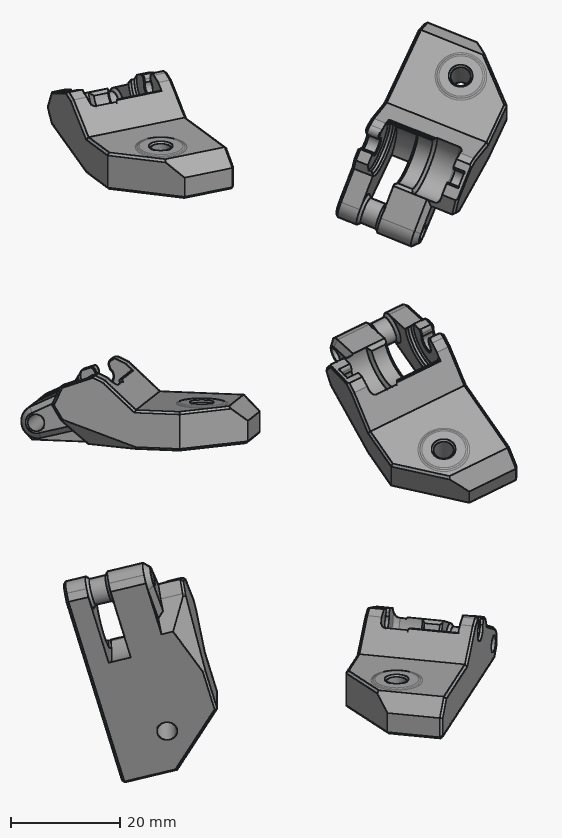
import math
import cadquery as cq

WIDTH = 20.8
RIGHT_END_X = 38.5
DECK_Z = 7.28
HEIGHT = 13.46
EDGE_BREAK = 0.45
ROOF_EDGE_BREAK = 0.2

PIN_Z = 3.375
PIN_D = 3.15
BARREL_R = 3.06
NECK_D = 4.95
ARM_Y = 4.6
ARM_CHAMFER = 1.1
ARM_TOP_ANGLE = math.radians(26)
ARM_BOTTOM_ANGLE = math.radians(14.7)
ARM_REACH_X = 9.0
ARM_ROOT_X = 19.0

TOWER_NOSE = (3.9, 7.6)
TOWER_SHOULDER = (5.47, 10.95)
TOWER_PEAK_X = 12.08
TOWER_BROW_X = 13.83
CREST_FALL = math.radians(24.3)
SNAP_R = 1.1
SNAP_X = TOWER_PEAK_X - SNAP_R * math.sin(CREST_FALL)
SNAP_Z = HEIGHT - SNAP_R
TOWER_PEAK = (TOWER_PEAK_X, SNAP_Z + SNAP_R * math.cos(CREST_FALL))
TOWER_BROW = (TOWER_BROW_X, TOWER_PEAK[1] - (TOWER_BROW_X - TOWER_PEAK_X) * math.tan(CREST_FALL))
SADDLE_FOOT_X = 19.72
NOSE_UNDERCUT = (5.5, 5.0)
NOSE_TOE_X = 10.1

END_BEVEL = 3.03
CORNER_CUT = 10.46

FACET_TOP = (5.45, 5.2)
FACET_DEPTH_Y = 3.5

BORE_X = 9.88
BORE_Z = 10.1
BORE_R = 4.85
BIG_BORE_R = 5.65
BIG_BORE_Y = (3.15, 8.5)
BORE_STEP_LENGTH = 0.6
BIG_BORE_FILLET = 1.05
BORE_END_Y = 17.95
BORE_END_CHAMFER = 0.35
RIM_CHAMFER = 0.4
TOWER_INNER_BREAK = 0.2

SLOT_Y = (12.4, 16.6)
WHEEL_X = 5.3
WHEEL_Z = 6.5
WHEEL_R = 10.3
WALL_LEDGE_X = 15.2
LEDGE_BREAK_X = 14.87
LEDGE_BREAK = 0.3

LIP_X = 4.33
LIP_ANGLE = math.radians(24)

AXLE_D = 3.15
SEAT_TILT = math.radians(20)
NEAR_SEAT_Y = 0.84
THROAT_HALF = (
    (SNAP_X - BORE_X) * math.cos(SEAT_TILT) + (SNAP_Z - BORE_Z) * math.sin(SEAT_TILT) - SNAP_R
)
THROAT_TOP = (SNAP_Z - BORE_Z) * math.cos(SEAT_TILT) - (SNAP_X - BORE_X) * math.sin(SEAT_TILT)

SCREW_X = 29.92
SCREW_Y = 10.03
SCREW_R = 1.85
SCREW_CHAMFER = 0.35
BOSS_OUTER_R = 4.73
BOSS_BLEND_R = 0.7
BOSS_BLEND_ANGLE = math.radians(30)

BEYOND = 60.0


def extrude_y(profile, y_start, y_end):
    """Extrude a closed XZ profile from y_start to y_end."""
    return profile.extrude(y_start - y_end).translate((0, y_start, 0))


def xz_polygon(points):
    """Closed XZ outline with straight sides."""
    return cq.Workplane("XZ").polyline(points).close()


def cylinder_y(x, z, radius, y_start, y_end):
    """Cylinder along Y centred on (x, z)."""
    return extrude_y(cq.Workplane("XZ").center(x, z).circle(radius), y_start, y_end)


def cone_y(x, z, r_start, r_end, y_start, y_end):
    """Cone frustum along Y between two radii."""
    section = [(0, y_start), (r_start, y_start), (r_end, y_end), (0, y_end)]
    cone = cq.Workplane("XY").polyline(section).close().revolve(360, (0, 0, 0), (0, 1, 0))
    return cone.translate((x, 0, z))


def barrel_point(angle):
    """Point of the barrel circle at an angle from +X."""
    return (BARREL_R * math.cos(angle), PIN_Z + BARREL_R * math.sin(angle))


def along(start, angle, x_end):
    """Point at x_end on the line through start at the given angle."""
    return (x_end, start[1] + (x_end - start[0]) * math.tan(angle))


ARM_TOP_START = barrel_point(math.pi / 2 + ARM_TOP_ANGLE)


def arm_ridge():
    """Where the top of the arm meets the front of the towers."""
    run = TOWER_SHOULDER[0] - TOWER_NOSE[0]
    tower_slope = (TOWER_SHOULDER[1] - TOWER_NOSE[1]) / run
    arm_slope = math.tan(ARM_TOP_ANGLE)
    gap = ARM_TOP_START[1] + (TOWER_NOSE[0] - ARM_TOP_START[0]) * arm_slope - TOWER_NOSE[1]
    x = TOWER_NOSE[0] + gap / (tower_slope - arm_slope)
    return along(ARM_TOP_START, ARM_TOP_ANGLE, x)


def make_saddle_block():
    """Deck and towers over the full width, with the near right corner cut off."""
    profile = xz_polygon([
        (NOSE_TOE_X, 0),
        NOSE_UNDERCUT,
        TOWER_NOSE,
        TOWER_SHOULDER,
        TOWER_PEAK,
        TOWER_BROW,
        (SADDLE_FOOT_X, DECK_Z),
        (RIGHT_END_X - END_BEVEL, DECK_Z),
        (RIGHT_END_X, DECK_Z - END_BEVEL),
        (RIGHT_END_X, 0),
    ])
    block = extrude_y(profile, 0, WIDTH)
    corner = (
        cq.Workplane("XY")
        .polyline([(RIGHT_END_X - CORNER_CUT, 0), (RIGHT_END_X, 0), (RIGHT_END_X, CORNER_CUT)])
        .close()
        .extrude(BEYOND)
    )
    return block.cut(corner)


def make_arm():
    """Hinge arm: plate down to the underside plus a chamfered boss around the pin."""
    top = ARM_TOP_START
    top_end = arm_ridge()
    toe = barrel_point(math.radians(225))
    plate = (
        cq.Workplane("XZ")
        .moveTo(*top)
        .threePointArc(barrel_point(math.pi), toe)
        .lineTo(toe[0] + toe[1], 0)
        .lineTo(ARM_ROOT_X, 0)
        .lineTo(ARM_ROOT_X, PIN_Z)
        .lineTo(ARM_REACH_X, top_end[1])
        .lineTo(*top_end)
        .close()
    )
    low = barrel_point(ARM_BOTTOM_ANGLE - math.pi / 2)
    boss = (
        cq.Workplane("XZ")
        .moveTo(*top)
        .threePointArc(barrel_point(math.pi), low)
        .lineTo(*along(low, ARM_BOTTOM_ANGLE, ARM_REACH_X))
        .lineTo(ARM_REACH_X, top_end[1])
        .lineTo(*top_end)
        .close()
    )
    boss_solid = extrude_y(boss, ARM_Y, SLOT_Y[0]).faces("<Y").chamfer(ARM_CHAMFER)
    return extrude_y(plate, ARM_Y + ARM_CHAMFER, WIDTH).union(boss_solid)


def axle_seat_profile():
    """Snap-in seat in its own upright frame: round bed, narrower throat and flared mouth."""
    bed_r = AXLE_D / 2
    throat_bottom = math.sqrt(bed_r**2 - THROAT_HALF**2)
    flare_x = THROAT_HALF + SNAP_R
    flare_z = THROAT_TOP + SNAP_R
    mid_x = flare_x - SNAP_R * math.sqrt(0.5)
    mid_z = THROAT_TOP + SNAP_R * math.sqrt(0.5)
    return (
        cq.Workplane("XZ")
        .moveTo(-THROAT_HALF, throat_bottom)
        .lineTo(-THROAT_HALF, THROAT_TOP)
        .threePointArc((-mid_x, mid_z), (-flare_x, flare_z))
        .lineTo(flare_x, flare_z)
        .threePointArc((mid_x, mid_z), (THROAT_HALF, THROAT_TOP))
        .lineTo(THROAT_HALF, throat_bottom)
        .threePointArc((0, -bed_r), (-THROAT_HALF, throat_bottom))
        .close()
    )


def tilt_onto_axis(seat):
    """Lean an upright seat back and move it onto the bore axis."""
    return seat.rotate((0, 0, 0), (0, 1, 0), -math.degrees(SEAT_TILT)).translate((BORE_X, 0, BORE_Z))


def make_near_seat():
    """Blind seat in the near tower."""
    return tilt_onto_axis(extrude_y(axle_seat_profile(), NEAR_SEAT_Y, BIG_BORE_Y[1]))


def make_far_seat():
    """Seat through the far tower, widening at 45 degrees at both faces of the tower."""
    seat = extrude_y(axle_seat_profile(), BORE_END_Y - TOWER_INNER_BREAK, WIDTH)
    outer = axle_seat_profile().extrude(-EDGE_BREAK, taper=-45).translate((0, WIDTH - EDGE_BREAK, 0))
    inner = axle_seat_profile().extrude(TOWER_INNER_BREAK, taper=-45)
    inner = inner.translate((0, BORE_END_Y + TOWER_INNER_BREAK, 0))
    return tilt_onto_axis(seat.union(outer).union(inner))


def add_snap_tip(body):
    """Round the far tower beside the axle seat into a tip, tangent to its crest."""
    corner = xz_polygon([(BORE_X, SNAP_Z), (SNAP_X, SNAP_Z), (SNAP_X, BEYOND), (BORE_X, BEYOND)])
    body = body.cut(extrude_y(corner, BORE_END_Y, WIDTH))
    return body.union(cylinder_y(SNAP_X, SNAP_Z, SNAP_R, BORE_END_Y, WIDTH))


def break_block_edges(block):
    """Chamfer the near outline, the cut corner and the right end; the sloping roof gets less."""
    roof = cq.selectors.NearestToPointSelector(
        ((TOWER_SHOULDER[0] + TOWER_PEAK[0]) / 2, 0, (TOWER_SHOULDER[1] + TOWER_PEAK[1]) / 2)
    )
    edges = block.faces("<Y").edges("not |Z").edges(cq.selectors.InverseSelector(roof))
    edges = edges.add(block.edges("|(1, 1, 0)"))
    edges = edges.add(block.faces(">X").edges("<Z"))
    block = edges.chamfer(EDGE_BREAK)
    return block.faces("<Y").edges(roof).chamfer(ROOF_EDGE_BREAK)


def make_nose_facet():
    """Wedge below a sloping plane across the lower near corner of the nose."""
    top = cq.Vector(FACET_TOP[0], 0, FACET_TOP[1])
    heel = cq.Vector(SADDLE_FOOT_X, 0, EDGE_BREAK)
    toe = cq.Vector(NOSE_TOE_X, FACET_DEPTH_Y, 0)
    downward = (toe - top).cross(heel - top)
    plane = cq.Plane(origin=top.toTuple(), xDir=(heel - top).toTuple(), normal=downward.toTuple())
    return cq.Workplane(plane).rect(BEYOND, BEYOND).extrude(BEYOND)


def make_bores():
    """Stepped cradle bore with a filleted near end and 45 degree rims beside the wheel slot."""
    big_start, big_end = BIG_BORE_Y
    straight_end = BORE_END_Y - BORE_END_CHAMFER
    end_r = BORE_R - BORE_END_CHAMFER
    big = cylinder_y(BORE_X, BORE_Z, BIG_BORE_R, big_start, big_end)
    big = big.faces("<Y").edges().fillet(BIG_BORE_FILLET)
    bores = big.union(cone_y(BORE_X, BORE_Z, BIG_BORE_R, BORE_R, big_end, big_end + BORE_STEP_LENGTH))
    bores = bores.union(cylinder_y(BORE_X, BORE_Z, BORE_R, big_end, straight_end))
    bores = bores.union(cone_y(BORE_X, BORE_Z, BORE_R, end_r, straight_end, BORE_END_Y))
    rim_r = BORE_R + RIM_CHAMFER
    bores = bores.union(cone_y(BORE_X, BORE_Z, BORE_R, rim_r, SLOT_Y[0] - RIM_CHAMFER, SLOT_Y[0]))
    return bores.union(cone_y(BORE_X, BORE_Z, rim_r, BORE_R, SLOT_Y[1], SLOT_Y[1] + RIM_CHAMFER))


def make_clearance():
    """Space between the towers, above the arm lip and above the ledge of the rear wall."""
    lip = along(ARM_TOP_START, ARM_TOP_ANGLE, LIP_X)
    lip_end = along(lip, -LIP_ANGLE, BORE_X)
    lip_cut = xz_polygon([lip, lip_end, (BORE_X, BEYOND), (LIP_X, BEYOND)])
    fall = (TOWER_BROW[1] - DECK_Z) / (SADDLE_FOOT_X - TOWER_BROW[0])
    ledge_z = TOWER_BROW[1] - (WALL_LEDGE_X - TOWER_BROW[0]) * fall
    wall_cut = xz_polygon([
        (BORE_X, ledge_z - LEDGE_BREAK),
        (LEDGE_BREAK_X - LEDGE_BREAK, ledge_z - LEDGE_BREAK),
        (LEDGE_BREAK_X, ledge_z),
        (WALL_LEDGE_X, ledge_z),
        (WALL_LEDGE_X, BEYOND),
        (BORE_X, BEYOND),
    ])
    wall_start = BIG_BORE_Y[1]
    lip_space = extrude_y(lip_cut, ARM_Y + ARM_CHAMFER, SLOT_Y[0])
    return lip_space.union(extrude_y(wall_cut, wall_start, BORE_END_Y))


def make_screw_boss():
    """Low disc whose edge is an S blend of two equal arcs."""
    run = BOSS_BLEND_R * math.sin(BOSS_BLEND_ANGLE)
    rise = BOSS_BLEND_R * (1 - math.cos(BOSS_BLEND_ANGLE))
    half_run = BOSS_BLEND_R * math.sin(BOSS_BLEND_ANGLE / 2)
    half_rise = BOSS_BLEND_R * (1 - math.cos(BOSS_BLEND_ANGLE / 2))
    top_r = BOSS_OUTER_R - 2 * run
    disc = (
        cq.Workplane("XZ")
        .lineTo(BOSS_OUTER_R, 0)
        .threePointArc((BOSS_OUTER_R - half_run, half_rise), (BOSS_OUTER_R - run, rise))
        .threePointArc((top_r + half_run, 2 * rise - half_rise), (top_r, 2 * rise))
        .lineTo(0, 2 * rise)
        .close()
        .revolve(360, (0, 0, 0), (0, 1, 0))
    )
    return disc.translate((SCREW_X, SCREW_Y, DECK_Z)), DECK_Z + 2 * rise


def make_screw_hole(top_z):
    """Through hole with a chamfered mouth."""
    wide_r = SCREW_R + SCREW_CHAMFER
    section = [(0, 0), (SCREW_R, 0), (SCREW_R, top_z - SCREW_CHAMFER), (wide_r, top_z), (0, top_z)]
    hole = cq.Workplane("XZ").polyline(section).close().revolve(360, (0, 0, 0), (0, 1, 0))
    return hole.translate((SCREW_X, SCREW_Y, 0))


def make_neck():
    """Thin part of the barrel across the slot, with a conical flare at each end."""
    neck_r = NECK_D / 2
    flare = BARREL_R - neck_r
    start, end = SLOT_Y
    neck = cylinder_y(0, PIN_Z, neck_r, start, end)
    neck = neck.union(cone_y(0, PIN_Z, BARREL_R, neck_r, start, start + flare))
    return neck.union(cone_y(0, PIN_Z, neck_r, BARREL_R, end - flare, end))


block = break_block_edges(make_saddle_block()).cut(make_nose_facet())
body = block.union(make_arm())
body = add_snap_tip(body)
body = body.faces(">Y").edges().chamfer(EDGE_BREAK)
body = body.cut(make_far_seat())
body = body.cut(make_bores()).cut(make_clearance())
body = body.cut(make_near_seat())
body = body.cut(cylinder_y(WHEEL_X, WHEEL_Z, WHEEL_R, *SLOT_Y))
body = body.union(make_neck())
body = body.cut(cylinder_y(0, PIN_Z, PIN_D / 2, 0, WIDTH))
boss, boss_top_z = make_screw_boss()
result = body.union(boss).cut(make_screw_hole(boss_top_z))